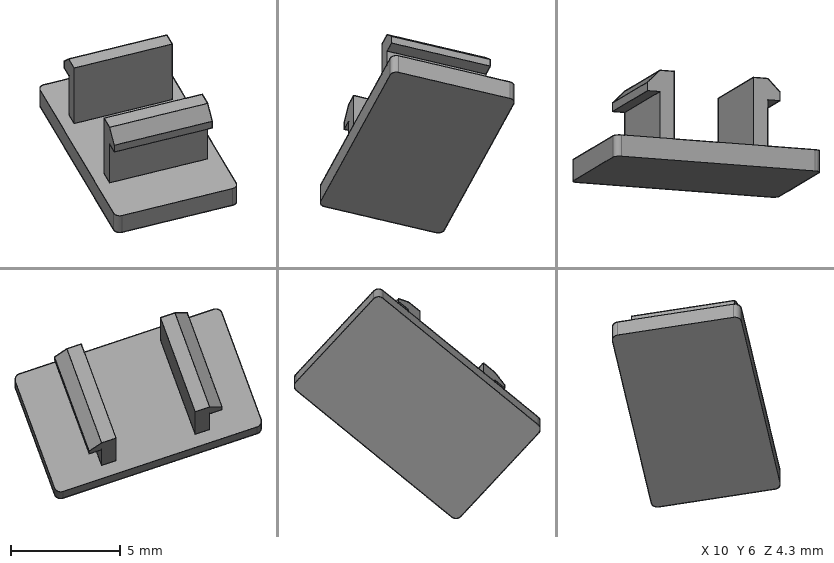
import cadquery as cq

plate_length = 10
plate_width = 6
plate_thickness = 1
corner_radius = 0.3

total_height = 4.3
clip_width = 4.8
clip_gap = 3.83
wall_thickness = 0.7
hook_overhang = 0.6
hook_height = 1

wall_inner_x = clip_gap / 2
wall_outer_x = wall_inner_x + wall_thickness
hook_tip_x = wall_outer_x + hook_overhang
hook_bottom_z = total_height - hook_height
lead_in_bottom_z = total_height - hook_overhang


def make_plate():
    """Flat plate with rounded vertical corners."""
    return (
        cq.Workplane("XY")
        .box(plate_length, plate_width, plate_thickness, centered=(True, True, False))
        .edges("|Z")
        .fillet(corner_radius)
    )


def make_clip(side):
    """Clip with an outward hook; side is +1 for +X and -1 for -X."""
    profile = [
        (wall_inner_x, plate_thickness),
        (wall_outer_x, plate_thickness),
        (wall_outer_x, hook_bottom_z),
        (hook_tip_x, hook_bottom_z),
        (hook_tip_x, lead_in_bottom_z),
        (wall_outer_x, total_height),
        (wall_inner_x, total_height),
    ]
    return (
        cq.Workplane("XZ")
        .polyline([(side * x, z) for x, z in profile])
        .close()
        .extrude(clip_width / 2, both=True)
    )


result = make_plate()
for side in (-1, 1):
    result = result.union(make_clip(side))